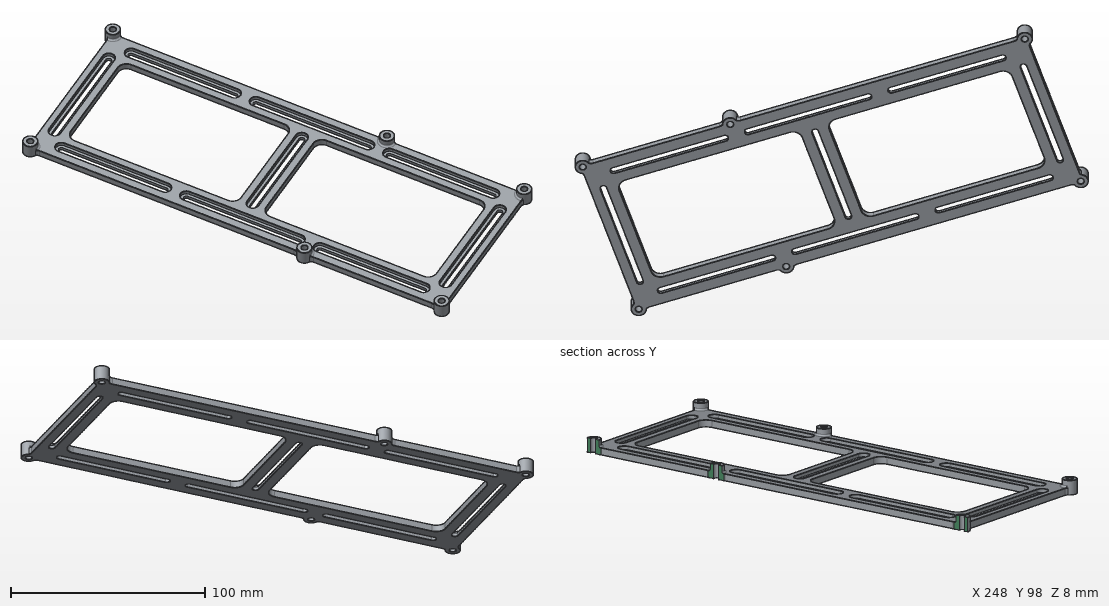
import cadquery as cq

plate_length = 242.0
plate_width = 91.3
plate_thickness = 4.0
edge_chamfer = 0.2

boss_diameter = 8.0
boss_height = 8.0
boss_span_x = 248 - boss_diameter
boss_span_y = 98.0 - boss_diameter
middle_boss_x = 40.0
hole_diameter = 3.2
side_blend_radius = 3.0
skirt_radius = 1.0

window_length = 99.2
window_width = 61.0
window_center_x = 57
window_corner_radius = 5

slot_width = 3.2
recess_width = 6.5
recess_depth = plate_thickness / 2
rail_slot_y = 38.0
outer_rail_slot_x = 75.5
outer_rail_slot_length = 67
middle_rail_slot_length = 72
end_slot_x = 114
end_slot_length = 65.2
center_slot_length = 59.8

boss_radius = boss_diameter / 2
lobe_radius = boss_radius - edge_chamfer
boss_positions = [
    (x, y)
    for x in (-boss_span_x / 2, middle_boss_x, boss_span_x / 2)
    for y in (-boss_span_y / 2, boss_span_y / 2)
]
outer_rail_slots = [
    (x, y)
    for x in (-outer_rail_slot_x, outer_rail_slot_x)
    for y in (-rail_slot_y, rail_slot_y)
]
middle_rail_slots = [(0, -rail_slot_y), (0, rail_slot_y)]
end_slots = [(-end_slot_x, 0), (end_slot_x, 0)]


def make_outline():
    """Solid plate with a lobe inside each boss, blended into the plate's sides."""
    lobes = cq.Workplane("XY").pushPoints(boss_positions).circle(lobe_radius).extrude(plate_thickness)
    plate = cq.Workplane("XY").rect(plate_length, plate_width).extrude(plate_thickness).union(lobes)
    return plate.edges("|Z").fillet(side_blend_radius)


def make_windows():
    """Cutters for the two round-cornered windows."""
    return (
        cq.Workplane("XY")
        .pushPoints([(-window_center_x, 0), (window_center_x, 0)])
        .rect(window_length, window_width)
        .extrude(plate_thickness)
        .edges("|Z")
        .fillet(window_corner_radius)
    )


def cut_slots(plate, positions, recess_length, angle):
    """Cut through slots, each inside a wider recess sunk from the plate's top face."""
    slot_length = recess_length - (recess_width - slot_width)
    top = cq.Workplane("XY", origin=(0, 0, plate_thickness)).pushPoints(positions)
    recess = top.slot2D(recess_length, recess_width, angle).extrude(-recess_depth)
    slot = top.slot2D(slot_length, slot_width, angle).extrude(-plate_thickness)
    return plate.cut(recess).cut(slot)


def make_plate():
    """Plate with all its openings, every rim on its top and bottom faces chamfered."""
    plate = make_outline().cut(make_windows())
    plate = cut_slots(plate, outer_rail_slots, outer_rail_slot_length, 0)
    plate = cut_slots(plate, middle_rail_slots, middle_rail_slot_length, 0)
    plate = cut_slots(plate, end_slots, end_slot_length, 90)
    plate = cut_slots(plate, [(0, 0)], center_slot_length, 90)
    return plate.faces("<Z or >Z").edges().chamfer(edge_chamfer)


def make_bosses():
    """Full-height cylinders with chamfered ends."""
    return (
        cq.Workplane("XY")
        .pushPoints(boss_positions)
        .circle(boss_radius)
        .extrude(boss_height)
        .faces("<Z or >Z")
        .edges()
        .chamfer(edge_chamfer)
    )


def make_skirts(plate):
    """Concave rings blending each boss into the plate's top face, kept within that face."""
    skirt = (
        cq.Workplane("XZ")
        .moveTo(0, plate_thickness)
        .lineTo(boss_radius + skirt_radius, plate_thickness)
        .radiusArc((boss_radius, plate_thickness + skirt_radius), skirt_radius)
        .lineTo(0, plate_thickness + skirt_radius)
        .close()
        .revolve(360, (0, 0, 0), (0, 1, 0))
    )
    skirts = cq.Workplane("XY").pushPoints(boss_positions).eachpoint(skirt.val(), combine=False)
    above_plate = plate.faces(">Z").wires().toPending().extrude(skirt_radius, combine=False)
    return skirts.intersect(above_plate)


def drill_holes(body):
    """Drill through every boss and chamfer both mouths of each hole."""
    mouth_radius = hole_diameter / 2 + edge_chamfer
    drill = (
        cq.Workplane("XZ")
        .lineTo(mouth_radius, 0)
        .lineTo(hole_diameter / 2, edge_chamfer)
        .lineTo(hole_diameter / 2, boss_height - edge_chamfer)
        .lineTo(mouth_radius, boss_height)
        .lineTo(0, boss_height)
        .close()
        .revolve(360, (0, 0, 0), (0, 1, 0))
    )
    drills = cq.Workplane("XY").pushPoints(boss_positions).eachpoint(drill.val(), combine=False)
    return body.cut(drills)


plate = make_plate()
result = drill_holes(plate.union(make_skirts(plate)).union(make_bosses()))